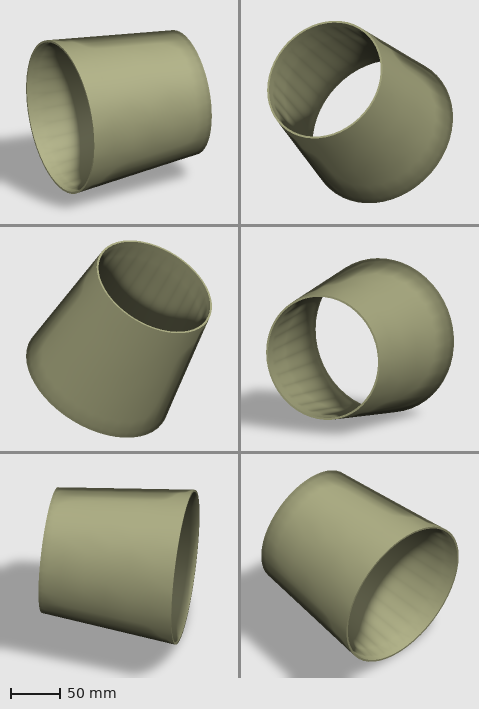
import cadquery as cq

large_diameter = 159.0
small_diameter = 129.0
length = 140.0
wall = 2.0

large_radius = large_diameter / 2
small_radius = small_diameter / 2

wall_section = (
    cq.Workplane("XY")
    .moveTo(large_radius - wall, 0)
    .lineTo(large_radius, 0)
    .lineTo(small_radius, length)
    .lineTo(small_radius - wall, length)
    .close()
)

result = wall_section.revolve(360, (0, 0, 0), (0, 1, 0))